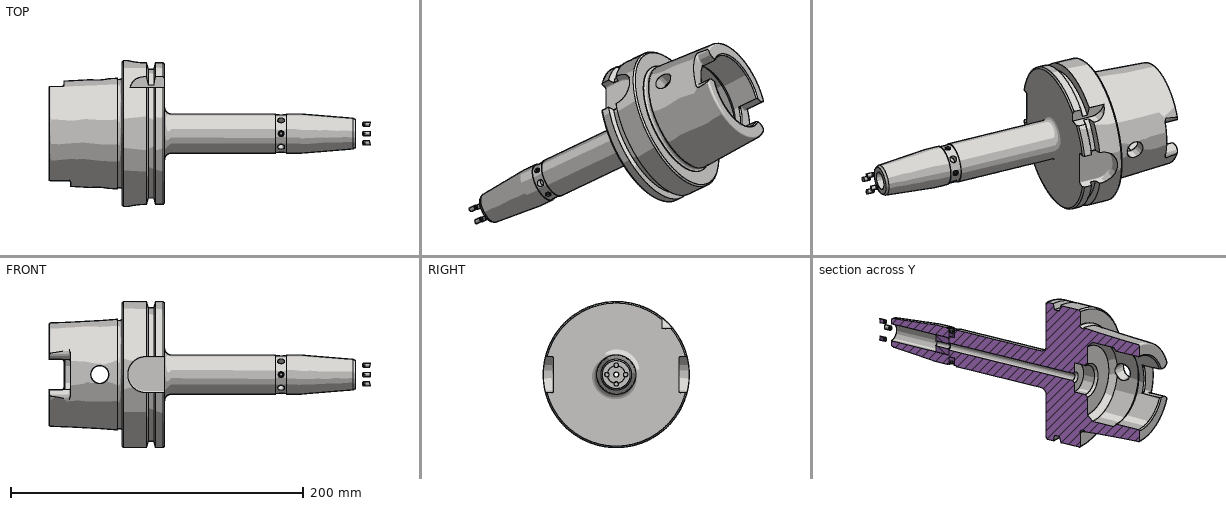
import cadquery as cq
import math


overall_length = 220

shank_length = 50.0
shank_tip_dia = 71.0
shank_base_dia = 75.9
shank_tip_fillet = 1.5
neck_length = 3.0
neck_dia = 74.3
neck_fillet = 2.0
face_relief_depth = 0.5

mouth_dia = 54.5
mouth_chamfer = 0.9
front_bore_depth = 19.8
relief_dia = 57.2
relief_end_depth = 39.5
floor_dia = 49.5
bore_depth = 44.0
tube_seat_dia = 24.2
tube_seat_rim_dia = 21.0
tube_seat_cone = 1.8
tube_seat_depth = 11.0

key_half_width = 10.3
key_corner_radius = 4.6
key_lobe_dia = 72.2
key_floor_fillet = 1.3
near_key_depth = 14.7
far_key_depth = 10.1
key_edge_chamfer = 0.9
access_hole_dia = 12.0
access_hole_x = 34.8 - shank_length

flange_dia = 100.0
flange_width = 29.3
flange_chamfer = 1.0
groove_depth = 4.2
groove_start = 16.7
groove_floor_start = 18.0
groove_floor_end = 21.8
groove_end = 22.9
drive_slot_width = 24.6
drive_slot_start = 4.0
drive_slot_floor_y = 43.0
drive_slot_fillet = 1.0
notch_offset = 31.5
notch_radius = 10.1
notch_arc_x = 15.5

extension_dia = 27.0
extension_fillet = 4.5
band_start = 105.0
band_end = 112.6
band_dia = 26.0
nose_taper_start = 122.3
nose_end = 160.0
nose_tip_dia = 21.0
nose_chamfer_length = 1.8
nose_chamfer_height = 0.9

clamp_bore_dia = 12.0
clamp_bore_depth = 48.5
passage_dia = 4.8
passage_rim_dia = 8.0

stop_screw_length = 11.0
stop_screw_hole_dia = 3.3

radial_hole_x = 108.9
radial_hole_depth = 5.3
radial_hole_count = 4
balancing_hole_dia = 4.6
set_screw_dia = 4.0
set_screw_length = 4.5
set_screw_chamfer = 0.5
set_screw_socket = 2.2
set_screw_socket_depth = 1.8

plug_count = 4
plug_dia = 3.0
plug_length = 5.5
plug_start = overall_length - shank_length - plug_length
plug_ring_radius = 6.4
plug_chamfer = 0.7
plug_tip_slope = 0.7
plug_socket = 1.8
plug_socket_depth = 1.8


def axial_cylinder(diameter, start, end):
    return cq.Workplane("YZ", origin=(start, 0, 0)).circle(diameter / 2).extrude(end - start)


def holder_blank():
    """Everything outside the holder as one turned profile."""
    flange_radius = flange_dia / 2
    groove_radius = flange_radius - groove_depth
    extension_radius = extension_dia / 2
    tip_diagonal = shank_tip_fillet * (1 - math.sqrt(0.5))
    neck_diagonal = neck_fillet * (1 - math.sqrt(0.5))
    fillet_diagonal = extension_fillet * (1 - math.sqrt(0.5))
    nose_taper = (extension_dia - nose_tip_dia) / 2 / (nose_end - nose_taper_start)
    chamfer_start_radius = nose_tip_dia / 2 + nose_taper * nose_chamfer_length
    return (
        cq.Workplane("XY")
        .moveTo(-shank_length, 0)
        .lineTo(-shank_length, shank_tip_dia / 2 - shank_tip_fillet)
        .threePointArc(
            (-shank_length + tip_diagonal, shank_tip_dia / 2 - tip_diagonal),
            (-shank_length + shank_tip_fillet, shank_tip_dia / 2),
        )
        .lineTo(-neck_length, shank_base_dia / 2)
        .lineTo(-neck_length, neck_dia / 2)
        .lineTo(face_relief_depth - neck_fillet, neck_dia / 2)
        .threePointArc(
            (face_relief_depth - neck_diagonal, neck_dia / 2 + neck_diagonal),
            (face_relief_depth, neck_dia / 2 + neck_fillet),
        )
        .lineTo(0, neck_dia / 2 + neck_fillet)
        .lineTo(0, flange_radius - flange_chamfer)
        .lineTo(flange_chamfer, flange_radius)
        .lineTo(groove_start, flange_radius)
        .lineTo(groove_floor_start, groove_radius)
        .lineTo(groove_floor_end, groove_radius)
        .lineTo(groove_end, flange_radius)
        .lineTo(flange_width - flange_chamfer, flange_radius)
        .lineTo(flange_width, flange_radius - flange_chamfer)
        .lineTo(flange_width, extension_radius + extension_fillet)
        .threePointArc(
            (flange_width + fillet_diagonal, extension_radius + fillet_diagonal),
            (flange_width + extension_fillet, extension_radius),
        )
        .lineTo(band_start, extension_radius)
        .lineTo(band_start, band_dia / 2)
        .lineTo(band_end, band_dia / 2)
        .lineTo(band_end, extension_radius)
        .lineTo(nose_taper_start, extension_radius)
        .lineTo(nose_end - nose_chamfer_length, chamfer_start_radius)
        .lineTo(nose_end, nose_tip_dia / 2 - nose_chamfer_height)
        .lineTo(nose_end, 0)
        .close()
        .revolve(360, (0, 0, 0), (1, 0, 0))
    )


def holder_bore():
    """The stepped space inside the holder, open at both ends."""
    tip = -shank_length
    front_bore_dia = mouth_dia - 2 * mouth_chamfer
    relief_x = tip + front_bore_depth
    relief_step = (relief_dia - front_bore_dia) / 2
    relief_end_x = tip + relief_end_depth
    floor_x = tip + bore_depth
    seat_floor_x = floor_x + tube_seat_depth
    rim_depth = (passage_rim_dia - passage_dia) / 2
    clamp_bore_start = nose_end - clamp_bore_depth
    return (
        cq.Workplane("XY")
        .moveTo(tip, 0)
        .lineTo(tip, mouth_dia / 2)
        .lineTo(tip + mouth_chamfer, front_bore_dia / 2)
        .lineTo(relief_x, front_bore_dia / 2)
        .lineTo(relief_x + relief_step, relief_dia / 2)
        .lineTo(relief_end_x, relief_dia / 2)
        .lineTo(floor_x, floor_dia / 2)
        .lineTo(floor_x, tube_seat_dia / 2)
        .lineTo(floor_x + tube_seat_cone, tube_seat_rim_dia / 2)
        .lineTo(seat_floor_x, tube_seat_rim_dia / 2)
        .lineTo(seat_floor_x, passage_rim_dia / 2)
        .lineTo(seat_floor_x + rim_depth, passage_dia / 2)
        .lineTo(clamp_bore_start, passage_dia / 2)
        .lineTo(clamp_bore_start, clamp_bore_dia / 2)
        .lineTo(nose_end, clamp_bore_dia / 2)
        .lineTo(nose_end, 0)
        .close()
        .revolve(360, (0, 0, 0), (1, 0, 0))
    )


def key_slot(side, depth):
    """Slot across the shank tip; side is -1 or +1 along Y. Its mouth rounds out to the shank."""
    lobe_radius = key_lobe_dia / 2
    corner_z = key_half_width + key_corner_radius
    corner_distance = lobe_radius - key_corner_radius
    corner_y = math.sqrt(corner_distance**2 - corner_z**2)
    tangent_angle = math.atan2(corner_z, corner_y)
    mid_angle = (tangent_angle - math.pi / 2) / 2
    outer_y = lobe_radius * math.cos(tangent_angle)
    outer_z = lobe_radius * math.sin(tangent_angle)
    run_out = flange_dia / 4
    end_y = outer_y - run_out * math.sin(tangent_angle)
    end_z = outer_z + run_out * math.cos(tangent_angle)
    mid_y = corner_y + key_corner_radius * math.cos(mid_angle)
    mid_z = corner_z + key_corner_radius * math.sin(mid_angle)
    slot = (
        cq.Workplane("YZ", origin=(-shank_length, 0, 0))
        .moveTo(0, -key_half_width)
        .lineTo(side * corner_y, -key_half_width)
        .threePointArc((side * mid_y, -mid_z), (side * outer_y, -outer_z))
        .lineTo(side * end_y, -end_z)
        .lineTo(side * flange_dia, -end_z)
        .lineTo(side * flange_dia, end_z)
        .lineTo(side * end_y, end_z)
        .lineTo(side * outer_y, outer_z)
        .threePointArc((side * mid_y, mid_z), (side * corner_y, key_half_width))
        .lineTo(0, key_half_width)
        .close()
        .extrude(depth)
    )
    return slot.faces(">X").edges().fillet(key_floor_fillet)


def key_edge(side, depth):
    """Chamfer where the floor of a key slot meets the bore."""
    floor_x = depth - shank_length
    bore_radius = mouth_dia / 2 - mouth_chamfer
    cone = cq.Workplane("XY").add(
        cq.Solid.makeCone(
            bore_radius + key_edge_chamfer,
            bore_radius,
            key_edge_chamfer,
            pnt=cq.Vector(floor_x, 0, 0),
            dir=cq.Vector(1, 0, 0),
        )
    )
    slot_region = cq.Workplane("XY").box(flange_dia, flange_dia, 2 * key_half_width)
    return cone.intersect(slot_region.translate((0, side * flange_dia / 2, 0)))


def drive_slot(side):
    """Round-ended slot in the flange rim, open towards the nose; side is -1 or +1 along Y."""
    radius = drive_slot_width / 2
    arc_x = drive_slot_start + radius
    depth = flange_dia / 2 - drive_slot_floor_y
    open_end = flange_width + radius
    slot = (
        cq.Workplane("XZ", origin=(0, side * drive_slot_floor_y, 0))
        .moveTo(open_end, -radius)
        .lineTo(arc_x, -radius)
        .threePointArc((drive_slot_start, 0), (arc_x, radius))
        .lineTo(open_end, radius)
        .close()
        .extrude(-side * depth)
    )
    floor = "<Y" if side > 0 else ">Y"
    return slot.faces(floor).edges().fillet(drive_slot_fillet)


def index_notch():
    """Corner notch in the flange rim on the +Y +Z side, with a rounded end."""
    reach = flange_dia / 2
    arc_z = notch_offset + notch_radius
    return (
        cq.Workplane("XZ", origin=(0, notch_offset, 0))
        .moveTo(flange_width, notch_offset)
        .lineTo(notch_arc_x, notch_offset)
        .radiusArc((notch_arc_x - notch_radius, arc_z), notch_radius)
        .lineTo(notch_arc_x - notch_radius, reach)
        .lineTo(flange_width, reach)
        .close()
        .extrude(notch_offset - reach)
    )


def access_hole():
    return (
        cq.Workplane("XZ", origin=(access_hole_x, 0, 0))
        .circle(access_hole_dia / 2)
        .extrude(flange_dia / 2, both=True)
    )


def radial_cylinder(diameter, height):
    """Cylinder standing on the floor of the radial hole at +Z."""
    floor_z = band_dia / 2 - radial_hole_depth
    return (
        cq.Workplane("XY", origin=(radial_hole_x, 0, floor_z))
        .circle(diameter / 2)
        .extrude(height)
    )


def spaced_around_axis(body, count, start_angle=0):
    """Copies of a body, equally spaced around X."""
    return [
        body.rotate((0, 0, 0), (1, 0, 0), start_angle + 360 * index / count)
        for index in range(count)
    ]


def make_holder():
    holder = holder_blank().cut(holder_bore())
    for side, depth in ((-1, near_key_depth), (1, far_key_depth)):
        holder = holder.cut(key_slot(side, depth)).cut(key_edge(side, depth))
        holder = holder.cut(drive_slot(side))
    holder = holder.cut(index_notch()).cut(access_hole())
    set_screw_hole = radial_cylinder(set_screw_dia, extension_dia)
    balancing_hole = radial_cylinder(balancing_hole_dia, extension_dia)
    half_step = 180 / radial_hole_count
    for hole in spaced_around_axis(set_screw_hole, radial_hole_count):
        holder = holder.cut(hole)
    for hole in spaced_around_axis(balancing_hole, radial_hole_count, half_step):
        holder = holder.cut(hole)
    return holder


def make_stop_screw():
    start = nose_end - clamp_bore_depth
    screw = axial_cylinder(clamp_bore_dia, start, start + stop_screw_length)
    return screw.cut(axial_cylinder(stop_screw_hole_dia, start, start + stop_screw_length))


def make_set_screw():
    """Set screw on the floor of the +Z radial hole, hexagon socket outwards."""
    screw = radial_cylinder(set_screw_dia, set_screw_length).faces(">Z").chamfer(set_screw_chamfer)
    return screw.faces(">Z").workplane().polygon(6, set_screw_socket).cutBlind(-set_screw_socket_depth)


def make_plug():
    """Plug on the +Z side: socket towards the nose, far end sloped so its outer side is longest."""
    radius = plug_dia / 2
    plug = axial_cylinder(plug_dia, 0, plug_length).faces("<X").chamfer(plug_chamfer)
    slope = (
        cq.Workplane("XZ")
        .moveTo(plug_length - plug_tip_slope, -radius)
        .lineTo(plug_length, radius)
        .lineTo(plug_length, -radius)
        .close()
        .extrude(radius, both=True)
    )
    socket = cq.Workplane("YZ").polygon(6, plug_socket).extrude(plug_socket_depth)
    return plug.cut(slope).cut(socket).translate((plug_start, 0, plug_ring_radius))


holder = make_holder()
stop_screw = make_stop_screw()
set_screws = spaced_around_axis(make_set_screw(), radial_hole_count)
plugs = spaced_around_axis(make_plug(), plug_count)

result = cq.Compound.makeCompound(
    [holder.val(), stop_screw.val()]
    + [screw.val() for screw in set_screws]
    + [plug.val() for plug in plugs]
)